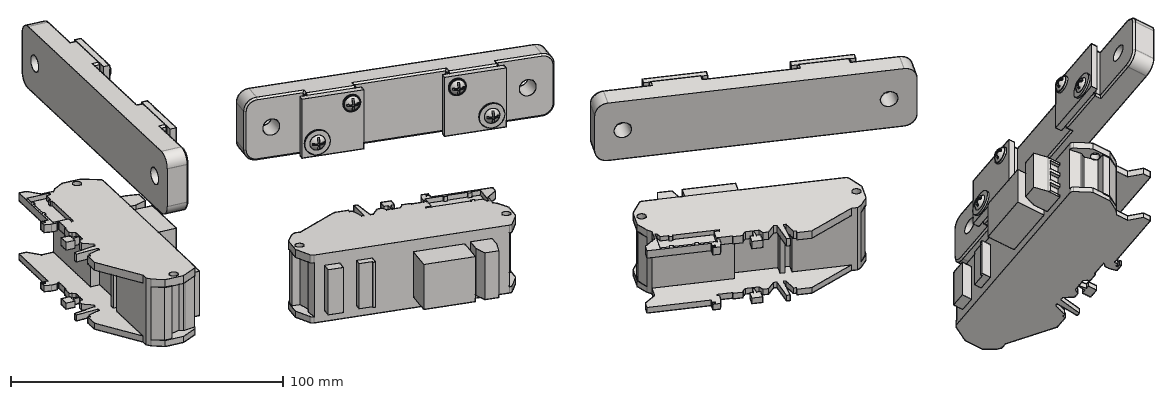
import cadquery as cq
bar_length = 121.0
bar_height = 25.5
bar_thickness = 8.8
bar_bottom_z = 62.9
bar_corner_radius = 5.0
bar_hole_diameter = 6.5
bar_hole_spacing = 100.0
bar_mid_z = bar_bottom_z + bar_height / 2

pad_width = 20.1
pad_back_y = 11.4
edge_chamfer = 0.7

clip_width = 24.1
clip_back_y = 13.9
clip_height = bar_height - 2 * edge_chamfer
clip_spacing = 55.5
clip_centers = (-clip_spacing / 2, clip_spacing / 2)
pad_offset = -0.1

screw_spacing_x = 13.4
screw_offset = 0.5
outer_screw_z = 69.5
inner_screw_z = 83.2
outer_washer_radius = 5.0
inner_washer_radius = 3.4
washer_thickness = 0.7
dome_radius = 3.0
dome_height = 1.8
drive_slot_width = 0.7
drive_slot_depth = 1.0

housing_height = 27.7
housing_half_width = 43.0
housing_back_y = 22.3
housing_front_y = 2.0
bottom_plate_thickness = 2.5
top_plate_thickness = 3.3
top_plate_z = housing_height - top_plate_thickness

back_slope_x = 39.0
back_slope_y = 15.4
back_corner_radius = 1.5
front_slope_y = 7.7
front_slope_x = 40.2
front_slope_end_y = 3.4
front_corner_x = 38.6

core_half_width = 42.6
core_recess_y = 5.8
core_recesses = ((-7.6, 9.4), (11.4, 13.9))

plate_hole_diameter = 3.4
plate_hole_x = 40.3
plate_hole_y = 12.6

pocket_depth = 1.9

connector_bottom_z = 4.5
connector_top_z = 22.9
terminal_bottom_z = 4.2
terminal_top_z = 23.4
terminal_side_x = -31.3
window_height = 4.5
window_pitch = 6.2
window_top_y = 26.4
window_depth = 1.2


def box(x_range, y_range, z_range):
    """Axis-aligned block between the given limits."""
    (x0, x1), (y0, y1), (z0, z1) = x_range, y_range, z_range
    return cq.Workplane("XY").box(x1 - x0, y1 - y0, z1 - z0, centered=False).translate((x0, y0, z0))


def prism(points, bottom_z, top_z):
    """Vertical prism over a closed XY outline."""
    return cq.Workplane("XY", origin=(0, 0, bottom_z)).polyline(points).close().extrude(top_z - bottom_z)


def on_back(x, y, z):
    """Workplane at (x, y, z) whose normal points to +Y."""
    return cq.Workplane("XZ", origin=(x, y, z)).transformed(rotate=(180, 0, 0))


def bracket_bar():
    """Rounded bar with two raised pads; the back rims and the pad edges are chamfered."""
    bar = on_back(0, 0, bar_mid_z).rect(bar_length, bar_height).extrude(bar_thickness)
    bar = bar.edges("|Y").fillet(bar_corner_radius)
    bar = bar.faces(">Y").chamfer(edge_chamfer)
    for clip_x in clip_centers:
        pad = on_back(clip_x + pad_offset, 0, bar_mid_z).rect(pad_width, bar_height).extrude(pad_back_y)
        pad = pad.edges("|Y or >Y").chamfer(edge_chamfer)
        bar = bar.union(pad)
    return bar


def screw_head(x, z, washer_radius):
    """Domed cross-slot head on a round washer, standing on the back of a clip."""
    washer = on_back(x, clip_back_y, z).circle(washer_radius).extrude(washer_thickness)
    crown_radius = (dome_radius**2 + dome_height**2) / (2 * dome_height)
    crown_y = clip_back_y + washer_thickness + dome_height
    ball = cq.Workplane("XY").sphere(crown_radius).translate((x, crown_y - crown_radius, z))
    shank = on_back(x, clip_back_y, z).circle(dome_radius).extrude(crown_y - clip_back_y)
    head = washer.union(ball.intersect(shank))
    slot_plane = on_back(x, crown_y - drive_slot_depth, z)
    for length_x, length_z in ((2 * dome_radius, drive_slot_width), (drive_slot_width, 2 * dome_radius)):
        head = head.cut(slot_plane.rect(length_x, length_z).extrude(drive_slot_depth))
    return head


def build_bracket():
    """Bar with its pads, two clips, four screw heads and two mounting holes."""
    bracket = bracket_bar()
    for clip_x in clip_centers:
        clip = on_back(clip_x, pad_back_y, bar_mid_z).rect(clip_width, clip_height)
        bracket = bracket.union(clip.extrude(clip_back_y - pad_back_y))
        outward = 1 if clip_x > 0 else -1
        outer_x = clip_x + outward * (screw_spacing_x / 2 - screw_offset)
        inner_x = outer_x - outward * screw_spacing_x
        bracket = bracket.union(screw_head(outer_x, outer_screw_z, outer_washer_radius))
        bracket = bracket.union(screw_head(inner_x, inner_screw_z, inner_washer_radius))
    holes = on_back(0, 0, bar_mid_z).rarray(bar_hole_spacing, 1.2, 2, 1).circle(bar_hole_diameter / 2)
    return bracket.cut(holes.extrude(bar_thickness))


def side_plate(bottom_z, top_z):
    """End plate with the rail hooks and spring latch along its front edge."""
    rail_foot = [
        (-front_corner_x, -2.8), (-housing_half_width, -6.9), (-housing_half_width, -9.9),
    ]
    fixed_hook = [
        (-18.9, -9.9), (-18.9, -11.4), (-17.7, -11.4), (-17.7, -12.1), (-18.9, -12.1), (-18.9, -12.8),
        (-16.0, -12.8), (-15.2, -10.2), (-15.2, -8.0), (-16.1, -7.1), (-16.1, -6.8),
    ]
    middle_edge = [(-10.2, -6.8), (-10.2, -7.3), (-6.4, -7.3), (-6.0, -6.3), (-5.1, -5.1)]
    square_tab = [
        (-2.3, -5.1), (-2.7, -8.1), (-4.0, -8.1), (-4.0, -11.7), (0.1, -11.7), (0.1, -8.1),
        (-1.6, -8.1), (-1.9, -5.1),
    ]
    spring_latch = [
        (0.1, -5.1), (1.2, -6.9), (3.3, -6.9), (5.9, -3.3), (7.1, -3.3),
        (8.8, -12.6), (10.3, -12.6), (9.5, -3.3), (10.5, -3.3),
    ]
    sloped_jaw = [(12.3, -8.3), (13.4, -8.3), (13.4, -9.4), (19.0, -9.4), (36.2, housing_front_y)]
    points = (
        [(-back_slope_x, housing_back_y), (-housing_half_width, back_slope_y)]
        + [(-housing_half_width, front_slope_y), (-front_slope_x, front_slope_end_y)]
        + [(-front_corner_x, housing_front_y)]
        + rail_foot + fixed_hook + middle_edge + square_tab + spring_latch + sloped_jaw
        + [(front_corner_x, housing_front_y), (front_slope_x, front_slope_end_y)]
        + [(housing_half_width, front_slope_y), (housing_half_width, back_slope_y)]
        + [(back_slope_x, housing_back_y)]
    )
    plate = prism(points, bottom_z, top_z)
    back_corners = cq.selectors.BoxSelector(
        (-housing_half_width, housing_back_y - 0.1, bottom_z),
        (housing_half_width, housing_back_y + 0.1, top_z),
    )
    return plate.edges("|Z").edges(back_corners).fillet(back_corner_radius)


def core():
    """Block between the end plates, hollowed beside the plate holes and set back along its front."""
    half_outline = [
        (38.0, housing_back_y), (38.7, 18.0), (38.7, 17.4), (37.9, 15.9), (39.5, 10.8), (core_half_width, 10.8),
        (core_half_width, front_slope_y), (front_slope_x, front_slope_end_y),
        (front_corner_x, housing_front_y),
    ]
    mirrored = [(-x, y) for x, y in reversed(half_outline)]
    block = prism(half_outline + mirrored, bottom_plate_thickness, top_plate_z)
    for x_range in core_recesses:
        block = block.cut(box(x_range, (housing_front_y, core_recess_y), (0, housing_height)))
    return block


def label_pocket():
    """Shallow pocket in the top plate above the fixed hook, with small snap notches in its rim."""
    left, right, slot_right = -37.9, -16.3, -14.2
    front, back, rim_step = -9.1, -1.8, 0.7
    outline = [
        (left, 0.1), (left, front),
        (-34.2, front), (-34.2, front + rim_step), (-32.8, front + rim_step), (-32.8, front),
        (-24.8, front), (-24.8, front + rim_step), (-23.4, front + rim_step), (-23.4, front),
        (right, front), (right, back - rim_step),
        (slot_right, back - rim_step), (slot_right, back),
        (-31.7, back), (-31.7, back - rim_step), (-33.2, back - rim_step), (-33.2, back),
        (-36.3, back), (-37.1, 0.1),
    ]
    return prism(outline, housing_height - pocket_depth, housing_height)


def terminal_block():
    """Tapered three-way terminal with a wire window for each way."""
    outline = [
        (terminal_side_x, housing_back_y), (terminal_side_x, 27.5), (-30.1, 32.9), (-24.7, 32.9),
        (-22.9, 28.2), (-22.9, housing_back_y),
    ]
    block = prism(outline, terminal_bottom_z, terminal_top_z)
    middle_z = (terminal_bottom_z + terminal_top_z) / 2
    for step in (-1, 0, 1):
        window_z = middle_z + step * window_pitch
        block = block.cut(box(
            (terminal_side_x, terminal_side_x + window_depth),
            (housing_back_y, window_top_y),
            (window_z - window_height / 2, window_z + window_height / 2),
        ))
    return block


def back_connectors():
    """Socket, switch with its lever, and plug standing on the back of the core."""
    socket = ((-20.7, -0.6), 33.8)
    switch = ((15.4, 21.5), 25.2)
    lever = ((15.4, 16.3), 25.9)
    plug = ((28.1, 34.0), 26.3)
    z_range = (connector_bottom_z, connector_top_z)
    return [box(x_range, (housing_back_y, end_y), z_range) for x_range, end_y in (socket, switch, lever, plug)]


def build_housing():
    """Core between two end plates, with the connectors on its back."""
    housing = side_plate(0, bottom_plate_thickness).union(core())
    top_plate = side_plate(top_plate_z, housing_height)
    for hole_x in (-plate_hole_x, plate_hole_x):
        hole = cq.Workplane("XY", origin=(hole_x, plate_hole_y, top_plate_z)).circle(plate_hole_diameter / 2)
        top_plate = top_plate.cut(hole.extrude(top_plate_thickness))
    housing = housing.union(top_plate.cut(label_pocket()))
    for block in [terminal_block()] + back_connectors():
        housing = housing.union(block)
    return housing


bracket = build_bracket()
housing = build_housing()
result = cq.Compound.makeCompound([bracket.val(), housing.val()])